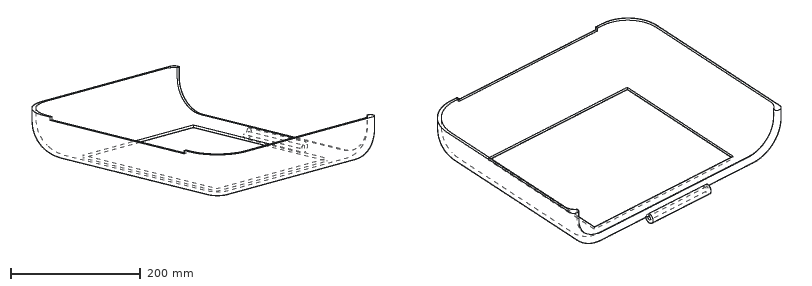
import cadquery as cq

width = 434.0
depth = 355.0
height = 80.0
wall = 4.5
large_radius = 60.0
back_radius = 8.0
inner_back_radius = 20.0

window_margin = 9.5
back_frame = 14.0
back_opening_radius = wall + large_radius - back_frame
back_edge_radius = 4.5
notch_depth = 5.0

hinge_length = 120.0
hinge_radius = 9.0
hinge_hole_radius = 3.0

window_inset = wall + large_radius + window_margin
window_width = width - 2 * window_inset
window_front = window_inset
window_back = depth - wall - inner_back_radius - window_margin


def rounded_block(inset, end_radius, block_height):
    """Block inset from the tray faces, with rounded sides, front, underside and back."""
    block = (
        cq.Workplane("XY", origin=(0, depth / 2, inset))
        .rect(width - 2 * inset, depth - 2 * inset)
        .extrude(block_height)
    )
    block = block.edges("(|Z and <Y) or (<Z and (|Y or <Y))").fillet(large_radius)
    return block.faces(">Y").edges("not(>Z)").fillet(end_radius)


def back_opening():
    """Cutter through the back wall, leaving a frame of even width along its sides and bottom."""
    opening_width = width - 2 * back_frame
    cutter = (
        cq.Workplane("XY", origin=(0, depth, back_frame))
        .rect(opening_width, 2 * (wall + inner_back_radius))
        .extrude(height)
    )
    return cutter.edges("|Y and <Z").fillet(back_opening_radius)


def round_back_opening(body):
    """Round the outer edge of the back opening, leaving the tray's own outline untouched."""
    edge_inset = (back_radius + back_frame) / 2
    opening_edges = cq.selectors.BoxSelector(
        (-width / 2 + edge_inset, depth - wall / 2, edge_inset),
        (width / 2 - edge_inset, depth + wall / 2, height + wall),
        boundingbox=True,
    )
    return body.edges(opening_edges).fillet(back_edge_radius)


def window():
    """Rectangular cutter through the floor."""
    return (
        cq.Workplane("XY")
        .center(0, (window_front + window_back) / 2)
        .rect(window_width, window_back - window_front)
        .extrude(height)
    )


def front_notch():
    """Shallow cutter in the front rim, as wide as the window."""
    return (
        cq.Workplane("XY", origin=(0, 0, height - notch_depth))
        .rect(window_width, 2 * large_radius)
        .extrude(2 * notch_depth)
    )


def hinge_cylinder(radius):
    """Cylinder along X on the lower back edge, as long as the hinge barrel."""
    return (
        cq.Workplane("YZ", origin=(-hinge_length / 2, depth, 0))
        .circle(radius)
        .extrude(hinge_length)
    )


tray = rounded_block(0, back_radius, height)
tray = tray.cut(rounded_block(wall, inner_back_radius, height))
tray = round_back_opening(tray.cut(back_opening()))
tray = tray.cut(window()).cut(front_notch())
result = tray.union(hinge_cylinder(hinge_radius)).cut(hinge_cylinder(hinge_hole_radius))